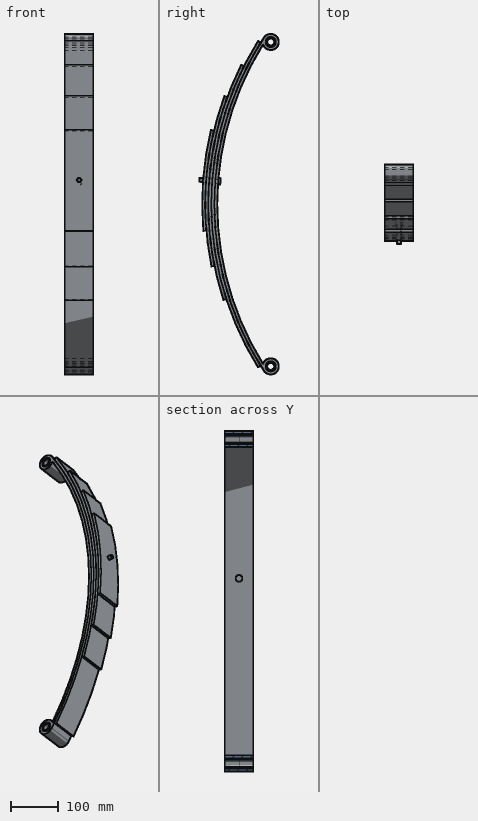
import cadquery as cq
import math

width = 60.0
leaf_thickness = 6.5
leaf_count = 5
main_outer_radius = 638.5
main_inner_radius = main_outer_radius - leaf_thickness
stack_outer_radius = main_inner_radius + leaf_count * leaf_thickness
arc_center_y = stack_outer_radius

eye_height = 339.5
eye_outer_radius = 17.0
eye_inner_radius = eye_outer_radius - leaf_thickness
eye_center_radius = main_outer_radius - eye_outer_radius
eye_angle = math.degrees(math.asin(eye_height / eye_center_radius))
bushing_bore_radius = 7.0

second_leaf_half_angle = 32.0
bolt_angle = 4.35
short_leaf_half_angles = [22.3, 15.8, 9.2]

bolt_radius = 4.0
bolt_protrusion = 8.0
bolt_head_radius = 7.0
bolt_head_height = 5.0
bolt_head_face_radius = main_inner_radius - bolt_head_height


def arc_point(radius, angle):
    """(Y, Z) of a point on an arc of the stack."""
    turn = math.radians(angle)
    return arc_center_y - radius * math.cos(turn), radius * math.sin(turn)


def mid_plane():
    return cq.Workplane("YZ")


def leaf_strip(inner_radius, low_angle, high_angle):
    """Curved strip of one leaf thickness with radial ends, centered in X."""
    outer_radius = inner_radius + leaf_thickness
    middle_angle = (low_angle + high_angle) / 2
    return (
        mid_plane()
        .moveTo(*arc_point(inner_radius, low_angle))
        .threePointArc(arc_point(inner_radius, middle_angle), arc_point(inner_radius, high_angle))
        .lineTo(*arc_point(outer_radius, high_angle))
        .threePointArc(arc_point(outer_radius, middle_angle), arc_point(outer_radius, low_angle))
        .close()
        .extrude(width / 2, both=True)
    )


def eye_cylinder(side, radius):
    """Cylinder along X at the upper (side = 1) or lower (side = -1) eye."""
    center = arc_point(eye_center_radius, side * eye_angle)
    return mid_plane().center(*center).circle(radius).extrude(width / 2, both=True)


def bolt_cylinder(radius, inner_end, outer_end):
    """Cylinder on the bolt axis between two distances from the arc center."""
    y, z = arc_point(inner_end, bolt_angle)
    turn = math.radians(bolt_angle)
    direction = cq.Vector(0, -math.cos(turn), math.sin(turn))
    cylinder = cq.Solid.makeCylinder(radius, outer_end - inner_end, cq.Vector(0, y, z), direction)
    return cq.Workplane(obj=cylinder)


def make_shank():
    return bolt_cylinder(bolt_radius, bolt_head_face_radius, stack_outer_radius + bolt_protrusion)


def make_main_leaf():
    leaf = leaf_strip(main_inner_radius, -eye_angle, eye_angle)
    for side in (1, -1):
        leaf = leaf.union(eye_cylinder(side, eye_outer_radius))
        leaf = leaf.cut(eye_cylinder(side, eye_inner_radius))
    return leaf.cut(make_shank())


def make_backing_leaf(layer, center_angle, half_angle):
    """Leaf stacked outside the main leaf; layer 1 touches the main leaf."""
    inner_radius = main_inner_radius + layer * leaf_thickness
    leaf = leaf_strip(inner_radius, center_angle - half_angle, center_angle + half_angle)
    return leaf.cut(make_shank())


def make_bushing(side):
    return eye_cylinder(side, eye_inner_radius).cut(eye_cylinder(side, bushing_bore_radius))


def make_center_bolt(main_leaf):
    """Bolt whose head seats on the concave face of the main leaf."""
    head = bolt_cylinder(bolt_head_radius, bolt_head_face_radius, main_inner_radius)
    return make_shank().union(head).cut(main_leaf)


main_leaf = make_main_leaf()
second_leaf = make_backing_leaf(1, 0, second_leaf_half_angle)
short_leaves = [
    make_backing_leaf(layer, bolt_angle, half_angle)
    for layer, half_angle in enumerate(short_leaf_half_angles, start=2)
]
bushings = [make_bushing(side) for side in (1, -1)]
center_bolt = make_center_bolt(main_leaf)

bodies = [main_leaf, second_leaf, *short_leaves, *bushings, center_bolt]
result = cq.Compound.makeCompound([body.val() for body in bodies])